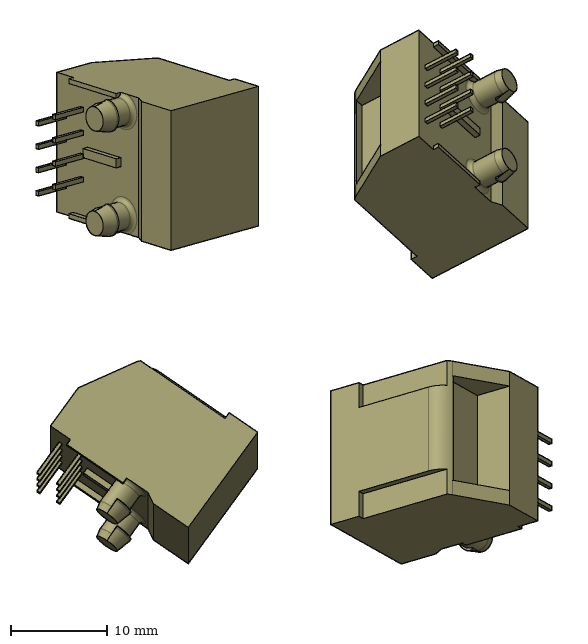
import cadquery as cq
import math

length = 18.03
height = 15.24
depth = 11.9
half_height = height / 2
standoff = 0.65

slope_start = 5.01
slope_angle = math.radians(60)
corner_radius = 2.5

foot_ramp_start = 12.44
foot_flat_start = 13.58

step_length = 14.39
step_depth = 0.75
raised_back_height = 9.55

pocket_floor = 4.15
pocket_height = 11.9
pocket_back = 10.57

rib_end = 9.72
side_rib_start = 2.52
side_rib_width = 0.52
center_rib_start = 4.69
center_rib_width = 1.0

pin_width = 0.4
pin_height = 0.5
pin_length = 4.02
pins_per_row = 4
pin_pitch = 2.55
row_spacing = 2.55
first_row_x = 1.3
row_shift = pin_pitch / 4

peg_x = 10.15
peg_z = 5.7
peg_radius = 1.5
peg_tip_radius = 1.32
peg_length = 4.16
peg_taper_start = 3.34
peg_root_fillet = 0.5
barb_radius = 1.75
barb_start = 2.33
barb_lip = 0.22
root_embed = 0.18


def block(x_min, x_max, y_min, y_max, z_size, z_center=0.0):
    """Box given by its X and Y limits and its Z size and center."""
    return cq.Workplane("XY").box(
        x_max - x_min, y_max - y_min, z_size, centered=(False, False, True)
    ).translate((x_min, y_min, z_center))


def make_housing():
    slope_top_x = (depth - slope_start) / math.tan(slope_angle)
    profile = (
        cq.Workplane("XY")
        .workplane(offset=-half_height)
        .polyline([
            (0, 0),
            (foot_ramp_start, 0),
            (foot_flat_start, -standoff),
            (length, -standoff),
            (length, depth),
            (slope_top_x, depth),
            (0, slope_start),
        ])
        .close()
    )
    corner = cq.selectors.NearestToPointSelector((slope_top_x, depth, 0))
    return profile.extrude(height).edges("|Z").edges(corner).fillet(corner_radius)


def make_back_steps():
    step_width = (height - raised_back_height) / 2
    step_z = (height - step_width) / 2
    lower = block(0, step_length, depth - step_depth, depth, step_width, -step_z)
    return lower.union(block(0, step_length, depth - step_depth, depth, step_width, step_z))


def make_ribs():
    side_z = half_height - side_rib_width / 2
    ribs = block(center_rib_start, rib_end, -standoff, root_embed, center_rib_width)
    for z in (-side_z, side_z):
        ribs = ribs.union(block(side_rib_start, rib_end, -standoff, root_embed, side_rib_width, z))
    return ribs


def make_pins():
    pins = cq.Workplane("XY")
    for row, shift in enumerate((-row_shift, row_shift)):
        x_min = first_row_x + row * row_spacing - pin_width / 2
        for index in range(pins_per_row):
            z = (index - (pins_per_row - 1) / 2) * pin_pitch + shift
            pins = pins.union(block(x_min, x_min + pin_width, -pin_length, root_embed, pin_height, z))
    return pins


def make_peg():
    """Snap peg around the Y axis, with its barb on the +X half only."""
    arc_offset = peg_root_fillet * (1 - math.sqrt(0.5))
    shaft = (
        cq.Workplane("XY")
        .moveTo(0, root_embed)
        .lineTo(peg_radius + peg_root_fillet, root_embed)
        .lineTo(peg_radius + peg_root_fillet, 0)
        .threePointArc((peg_radius + arc_offset, -arc_offset), (peg_radius, -peg_root_fillet))
        .lineTo(peg_radius, -peg_taper_start)
        .lineTo(peg_tip_radius, -peg_length)
        .lineTo(0, -peg_length)
        .close()
        .revolve(360, (0, 0, 0), (0, 1, 0))
    )
    barb = (
        cq.Workplane("XY")
        .polyline([
            (0, -barb_start),
            (barb_radius, -barb_start),
            (barb_radius, -barb_start - barb_lip),
            (peg_tip_radius, -peg_length),
            (0, -peg_length),
        ])
        .close()
        .revolve(180, (0, 0, 0), (0, 1, 0))
        .rotate((0, 0, 0), (0, 1, 0), -90)
    )
    return shaft.union(barb)


housing = make_housing()
housing = housing.cut(make_back_steps())
housing = housing.cut(block(0, pocket_floor, slope_start, pocket_back, pocket_height))

envelope = block(0, length, -peg_length, depth, height)
peg = make_peg()
result = housing.union(make_ribs()).union(make_pins())
for side in (-1, 1):
    result = result.union(peg.translate((peg_x, 0, side * peg_z)).intersect(envelope))